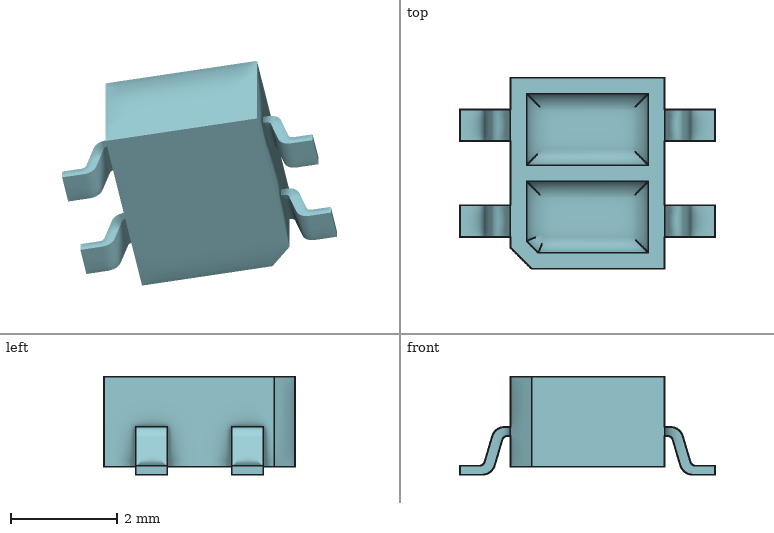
import cadquery as cq
import math

total_length = 4.8
total_height = 1.85

housing_length = 2.9
housing_width = 3.6
housing_height = 1.7
corner_cut = 0.4
housing_bottom = total_height - housing_height

wall = 0.3
pocket_depth = 0.3
pocket_width = (housing_width - 3 * wall) / 2
pocket_offset = (pocket_width + wall) / 2
cutter_height = 2 * pocket_depth

lead_width = 0.6
lead_spacing = 1.805
lead_thickness = 0.175
lead_top = 0.9
foot_length = 0.37
inner_radius = 0.095
outer_radius = 0.25
bend_angle = 73.5
under_shift = 0.05


def housing_outline():
    """Rectangle with the -X -Y corner cut off."""
    x = housing_length / 2
    y = housing_width / 2
    return cq.Workplane("XY").polyline(
        [(-x + corner_cut, -y), (x, -y), (x, y), (-x, y), (-x, -y + corner_cut)]
    ).close()


def make_pocket_cutters():
    """Pocket shapes, rounded at the floor, that keep an even wall all round."""
    inside = (
        housing_outline()
        .offset2D(-wall, "intersection")
        .extrude(cutter_height)
        .translate((0, 0, total_height - pocket_depth))
    )
    cutters = []
    for side in (-1, 1):
        half = (
            cq.Workplane("XY")
            .box(housing_length, pocket_width, 2 * total_height)
            .translate((0, side * pocket_offset, total_height))
        )
        cutters.append(inside.intersect(half).faces("<Z").edges().fillet(pocket_depth))
    return cutters


def make_housing():
    body = housing_outline().extrude(housing_height).translate((0, 0, housing_bottom))
    for cutter in make_pocket_cutters():
        body = body.cut(cutter)
    return body


def point_on_arc(center, radius, degrees):
    angle = math.radians(degrees)
    return (center[0] + radius * math.cos(angle), center[1] + radius * math.sin(angle))


def make_lead():
    """Lead on the -X side, from the tip of its foot to the housing wall."""
    tip = -total_length / 2
    housing_side = -housing_length / 2

    slope = math.radians(bend_angle)
    bend_height = lead_top - outer_radius - (lead_thickness + inner_radius)
    radius_sum = inner_radius + outer_radius
    leg_length = (bend_height + radius_sum * math.cos(slope)) / math.sin(slope)
    bend_run = radius_sum * math.sin(slope) + leg_length * math.cos(slope)
    foot_bend = (tip + foot_length, lead_thickness + inner_radius)
    top_bend = (foot_bend[0] + bend_run, lead_top - outer_radius)

    foot_under = (foot_bend[0] + under_shift, outer_radius)
    top_under = (top_bend[0] + under_shift, lead_top - lead_thickness - inner_radius)

    foot_start = -90
    foot_end = foot_start + bend_angle
    foot_middle = (foot_start + foot_end) / 2
    top_end = 90
    top_start = top_end + bend_angle
    top_middle = (top_start + top_end) / 2

    profile = (
        cq.Workplane("XZ")
        .moveTo(tip, 0)
        .lineTo(foot_under[0], 0)
        .threePointArc(
            point_on_arc(foot_under, outer_radius, foot_middle),
            point_on_arc(foot_under, outer_radius, foot_end),
        )
        .lineTo(*point_on_arc(top_under, inner_radius, top_start))
        .threePointArc(
            point_on_arc(top_under, inner_radius, top_middle),
            point_on_arc(top_under, inner_radius, top_end),
        )
        .lineTo(housing_side, lead_top - lead_thickness)
        .lineTo(housing_side, lead_top)
        .lineTo(top_bend[0], lead_top)
        .threePointArc(
            point_on_arc(top_bend, outer_radius, top_middle),
            point_on_arc(top_bend, outer_radius, top_start),
        )
        .lineTo(*point_on_arc(foot_bend, inner_radius, foot_end))
        .threePointArc(
            point_on_arc(foot_bend, inner_radius, foot_middle),
            point_on_arc(foot_bend, inner_radius, foot_start),
        )
        .lineTo(tip, lead_thickness)
        .close()
    )
    return profile.extrude(lead_width / 2, both=True)


housing = make_housing()

leads = []
for turn in (0, 180):
    for side in (-1, 1):
        lead = make_lead().translate((0, side * lead_spacing / 2, 0))
        leads.append(lead.rotate((0, 0, 0), (0, 0, 1), turn).val())

result = cq.Compound.makeCompound([housing.val(), *leads])